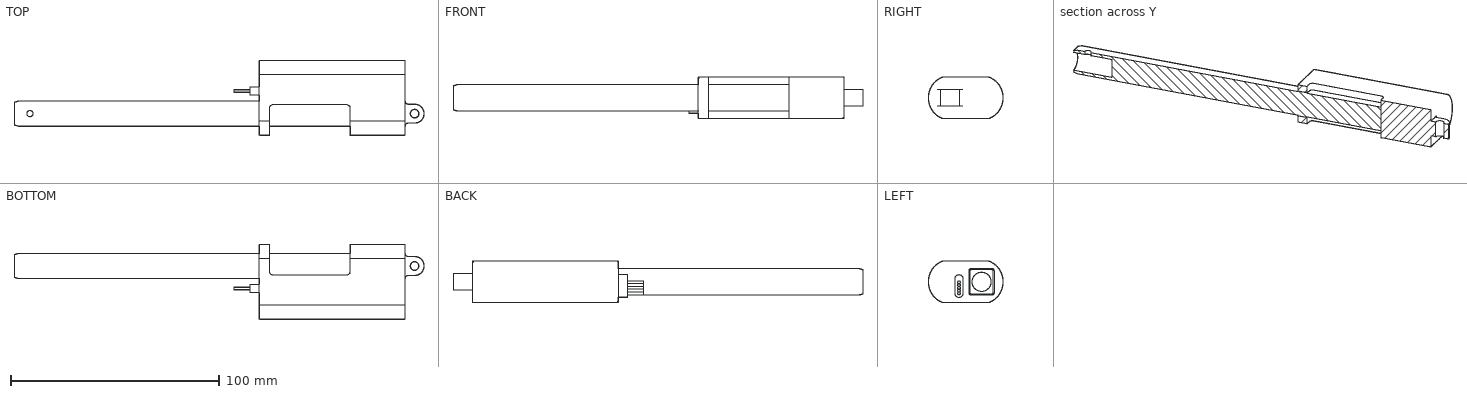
import cadquery as cq
import math


housing_length = 70.2
housing_width = 36.0
housing_height = 20.0
flat_width = 22.4
end_round = 0.5

window_start = 5.0
window_end = 43.7
window_wall_y = -3.3
window_corner_radius = 1.7

lug_reach = 9.1
lug_width = 9.2
lug_thickness = 8.0
lug_hole_diameter = 4.0
lug_root_radius = 1.4

tube_y = -7.6
tube_width = 12.2
tube_height = 12.8
tube_reach = 117.6
tube_edge_radius = 1.1
tip_taper_length = 2.0
tip_taper_inset = 0.6
bore_diameter = 9.2
bore_depth = 20.0
pin_hole_diameter = 3.0
pin_hole_setback = 7.5

cable_y = 3.25
grommet_width = 4.0
grommet_height = 10.9
grommet_z = -2.05
grommet_length = 4.4
wire_diameter = 1.33
wire_count = 5
wire_z = -2.9
wire_reach = 12.1


def make_housing():
    """Round-sided housing block with rounded end edges and its rear lug."""
    half_flat = flat_width / 2
    half_width = housing_width / 2
    half_height = housing_height / 2
    body = (
        cq.Workplane("YZ")
        .moveTo(-half_flat, half_height)
        .lineTo(half_flat, half_height)
        .threePointArc((half_width, 0), (half_flat, -half_height))
        .lineTo(-half_flat, -half_height)
        .threePointArc((-half_width, 0), (-half_flat, half_height))
        .close()
        .extrude(housing_length)
        .faces("<X or >X")
        .edges()
        .fillet(end_round)
    )
    body = body.union(make_lug())
    return body.cut(make_window()).cut(make_tube_bar())


def make_lug():
    """Round-ended lug with a cross hole and flared root."""
    eye_x = housing_length + lug_reach - lug_width / 2
    half_width = lug_width / 2
    root_x = housing_length + lug_root_radius
    flare_y = half_width + lug_root_radius
    lug = (
        cq.Workplane("XY")
        .workplane(offset=-lug_thickness / 2)
        .moveTo(housing_length, tube_y - flare_y)
        .radiusArc((root_x, tube_y - half_width), lug_root_radius)
        .lineTo(eye_x, tube_y - half_width)
        .threePointArc((eye_x + half_width, tube_y), (eye_x, tube_y + half_width))
        .lineTo(root_x, tube_y + half_width)
        .radiusArc((housing_length, tube_y + flare_y), lug_root_radius)
        .close()
        .extrude(lug_thickness)
    )
    hole = (
        cq.Workplane("XY")
        .center(eye_x, tube_y)
        .circle(lug_hole_diameter / 2)
        .extrude(lug_thickness, both=True)
    )
    return lug.cut(hole)


def make_window():
    """Cutter open to -Y and through the full height, with rounded inner corners."""
    window_length = window_end - window_start
    window_depth = housing_width / 2 + window_wall_y
    return (
        cq.Workplane("XY")
        .box(window_length, window_depth, housing_height, centered=(False, False, True))
        .edges("|Z and >Y")
        .fillet(window_corner_radius)
        .translate((window_start, -housing_width / 2, 0))
    )


def make_tube_bar():
    """Solid rectangular bar with rounded long edges, from behind the tip to the rear of the window."""
    bar_start = tip_taper_length - tube_reach
    return (
        cq.Workplane("YZ")
        .workplane(offset=bar_start)
        .center(tube_y, 0)
        .rect(tube_width, tube_height)
        .extrude(window_end - bar_start)
        .edges("|X")
        .fillet(tube_edge_radius)
    )


def make_tube():
    """Rectangular tube with a tapered tip, a bore and a pin hole in the top wall."""
    bar = make_tube_bar()
    tip_angle = math.degrees(math.atan(tip_taper_inset / tip_taper_length))
    tip = bar.faces("<X").wires().toPending().workplane().extrude(
        tip_taper_length, taper=tip_angle, combine=False
    )
    bore = (
        cq.Workplane("YZ")
        .workplane(offset=-tube_reach)
        .center(tube_y, 0)
        .circle(bore_diameter / 2)
        .extrude(bore_depth)
    )
    pin_hole = (
        cq.Workplane("XY")
        .center(pin_hole_setback - tube_reach, tube_y)
        .circle(pin_hole_diameter / 2)
        .extrude(tube_height / 2)
    )
    return bar.union(tip).cut(bore).cut(pin_hole)


def make_grommet():
    """Round-ended strip that sticks out of the front face of the housing."""
    return (
        cq.Workplane("YZ")
        .workplane(offset=-grommet_length)
        .center(cable_y, grommet_z)
        .slot2D(grommet_height, grommet_width, 90)
        .extrude(grommet_length)
    )


def make_wire(z):
    """One straight wire that ends on the grommet's front face."""
    return (
        cq.Workplane("YZ")
        .workplane(offset=-wire_reach)
        .center(cable_y, z)
        .circle(wire_diameter / 2)
        .extrude(wire_reach - grommet_length)
    )


housing = make_housing()
tube = make_tube()
grommet = make_grommet()
lowest_wire_z = wire_z - (wire_count - 1) / 2 * wire_diameter
wires = [make_wire(lowest_wire_z + i * wire_diameter) for i in range(wire_count)]

result = cq.Compound.makeCompound(
    [housing.val(), tube.val(), grommet.val(), *[wire.val() for wire in wires]]
)